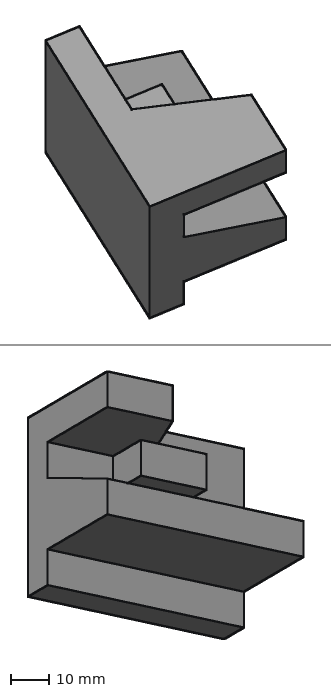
import cadquery as cq

length = 60.0
thickness = length / 6
depth = 4 * thickness
height = 5 * thickness

flange_root_x = length / 2
flange_tip_x = flange_root_x + thickness

shelf_bottom = thickness
shelf_root_height = 2 * thickness
shelf_tip_height = thickness

boss_length = length / 3
boss_reach = 14.0
boss_bottom = shelf_bottom + shelf_root_height


def make_plate():
    return cq.Workplane("XY").box(length, thickness, height, centered=False)


def make_flange():
    outline = [
        (flange_root_x, thickness),
        (length, thickness),
        (length, depth),
        (flange_tip_x, depth),
    ]
    flange_bottom = height - thickness
    return cq.Workplane("XY").workplane(offset=flange_bottom).polyline(outline).close().extrude(thickness)


def make_shelf():
    profile = [
        (thickness, shelf_bottom),
        (depth, shelf_bottom),
        (depth, shelf_bottom + shelf_tip_height),
        (thickness, shelf_bottom + shelf_root_height),
    ]
    return cq.Workplane("YZ").polyline(profile).close().extrude(length)


def make_boss():
    boss = cq.Workplane("XY").box(boss_length, boss_reach, thickness, centered=False)
    return boss.translate(((length - boss_length) / 2, thickness, boss_bottom))


result = make_plate().union(make_flange()).union(make_shelf()).union(make_boss())